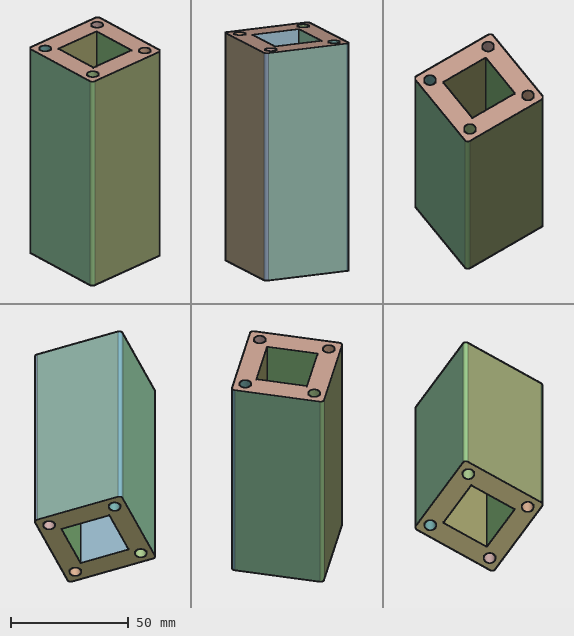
import cadquery as cq

side = 40.0
length = 100.0
corner_radius = 1.5

bore_side = 22.0

hole_diameter = 5.0
hole_spacing = 30.0

column = cq.Workplane("XY").rect(side, side).extrude(length)
column = column.edges("|Z").fillet(corner_radius)

bore = cq.Workplane("XY").rect(bore_side, bore_side).extrude(length)
corner_holes = (
    cq.Workplane("XY")
    .rect(hole_spacing, hole_spacing, forConstruction=True)
    .vertices()
    .circle(hole_diameter / 2)
    .extrude(length)
)

result = column.cut(bore).cut(corner_holes)